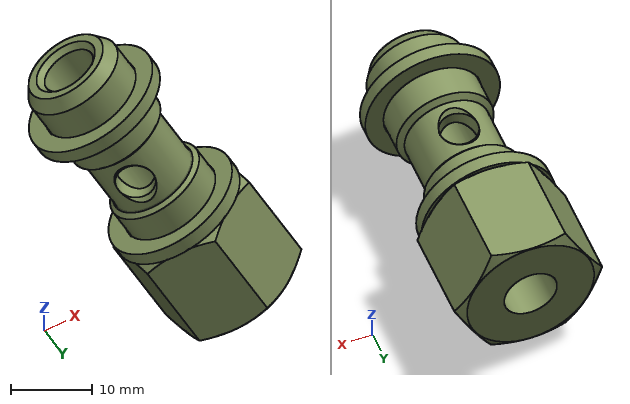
import cadquery as cq
import math

TOTAL_LENGTH = 40.5

HEAD_LENGTH = 13.97
ACROSS_FLATS = 17.0
ACROSS_CORNERS = ACROSS_FLATS / math.cos(math.radians(30))
HEAD_CHAMFER_DIAMETER = 16.85
HEAD_CHAMFER_ANGLE = 30.0

WASHER_DIAMETER = 17.9
WASHER_BORE = 13.1
WASHER_THICKNESS = 1.82
LOWER_WASHER_Y = 5.87

SHANK_DIAMETER = 12.9
NECK_DIAMETER = 11.3
UPPER_SHOULDER_FOOT_DIAMETER = 11.6
NECK_START = 12.47
NECK_LENGTH = 7.95
LOWER_SHOULDER_LENGTH = 0.6
UPPER_SHOULDER_LENGTH = 0.45
NOSE_DIAMETER = 10.77
NOSE_LENGTH = 1.75

BORE_DIAMETER = 7.0
BORE_MOUTH_DIAMETER = 8.45
CROSS_HOLE_DIAMETER = 5.0
CROSS_HOLE_MOUTH_DIAMETER = 6.08
CROSS_HOLE_Y = 16.5

HEAD_SEAT_Y = TOTAL_LENGTH - HEAD_LENGTH
UPPER_WASHER_Y = HEAD_SEAT_Y - WASHER_THICKNESS
NECK_END = NECK_START + NECK_LENGTH


def revolve_about_y(points):
    """Revolve a closed (radius, y) outline about the bolt axis."""
    return cq.Workplane("XY").polyline(points).close().revolve(360, (0, 0, 0), (0, 1, 0))


def make_head():
    """Hexagonal prism with conical chamfers at both ends, corners on the X axis."""
    prism = (
        cq.Workplane("XZ", origin=(0, TOTAL_LENGTH, 0))
        .polygon(6, ACROSS_CORNERS)
        .extrude(HEAD_LENGTH)
    )
    face_radius = HEAD_CHAMFER_DIAMETER / 2
    corner_radius = ACROSS_CORNERS / 2
    drop = (corner_radius - face_radius) * math.tan(math.radians(HEAD_CHAMFER_ANGLE))
    envelope = revolve_about_y([
        (0, HEAD_SEAT_Y),
        (face_radius, HEAD_SEAT_Y),
        (corner_radius, HEAD_SEAT_Y + drop),
        (corner_radius, TOTAL_LENGTH - drop),
        (face_radius, TOTAL_LENGTH),
        (0, TOTAL_LENGTH),
    ])
    return prism.intersect(envelope)


def make_shank():
    """Turned shank with a tapered nose and a neck between conical shoulders.

    A small quarter-round fillet joins the neck to the shoulder nearer the head.
    """
    shank_radius = SHANK_DIAMETER / 2
    neck_radius = NECK_DIAMETER / 2
    foot_radius = UPPER_SHOULDER_FOOT_DIAMETER / 2
    fillet_radius = foot_radius - neck_radius
    upper_shoulder_start = NECK_END + fillet_radius
    fillet_middle = (
        foot_radius - fillet_radius * math.cos(math.radians(45)),
        NECK_END + fillet_radius * math.sin(math.radians(45)),
    )
    return (
        cq.Workplane("XY")
        .lineTo(NOSE_DIAMETER / 2, 0)
        .lineTo(shank_radius, NOSE_LENGTH)
        .lineTo(shank_radius, NECK_START - LOWER_SHOULDER_LENGTH)
        .lineTo(neck_radius, NECK_START)
        .lineTo(neck_radius, NECK_END)
        .threePointArc(fillet_middle, (foot_radius, upper_shoulder_start))
        .lineTo(shank_radius, upper_shoulder_start + UPPER_SHOULDER_LENGTH)
        .lineTo(shank_radius, HEAD_SEAT_Y)
        .lineTo(0, HEAD_SEAT_Y)
        .close()
        .revolve(360, (0, 0, 0), (0, 1, 0))
    )


def make_bore():
    """Through bore with a 45 degree countersink at the nose."""
    bore_radius = BORE_DIAMETER / 2
    mouth_radius = BORE_MOUTH_DIAMETER / 2
    return revolve_about_y([
        (0, 0),
        (mouth_radius, 0),
        (bore_radius, mouth_radius - bore_radius),
        (bore_radius, TOTAL_LENGTH),
        (0, TOTAL_LENGTH),
    ])


def make_cross_hole():
    """Hole along Z through the neck, with a 45 degree countersink at each mouth."""
    hole_radius = CROSS_HOLE_DIAMETER / 2
    mouth_radius = CROSS_HOLE_MOUTH_DIAMETER / 2
    mouth_z = NECK_DIAMETER / 2
    cone_z = mouth_z - (mouth_radius - hole_radius)
    return (
        cq.Workplane("XZ", origin=(0, CROSS_HOLE_Y, 0))
        .polyline([
            (0, -mouth_z),
            (mouth_radius, -mouth_z),
            (hole_radius, -cone_z),
            (hole_radius, cone_z),
            (mouth_radius, mouth_z),
            (0, mouth_z),
        ])
        .close()
        .revolve(360, (0, 0, 0), (0, 1, 0))
    )


def make_bolt():
    return make_head().union(make_shank()).cut(make_bore()).cut(make_cross_hole())


def make_washer(start_y):
    """Flat ring around the shank, from start_y towards the head."""
    return (
        cq.Workplane("XZ", origin=(0, start_y + WASHER_THICKNESS, 0))
        .circle(WASHER_DIAMETER / 2)
        .circle(WASHER_BORE / 2)
        .extrude(WASHER_THICKNESS)
    )


bolt = make_bolt()
washers = [make_washer(start_y) for start_y in (LOWER_WASHER_Y, UPPER_WASHER_Y)]

result = cq.Compound.makeCompound([bolt.val(), *[washer.val() for washer in washers]])